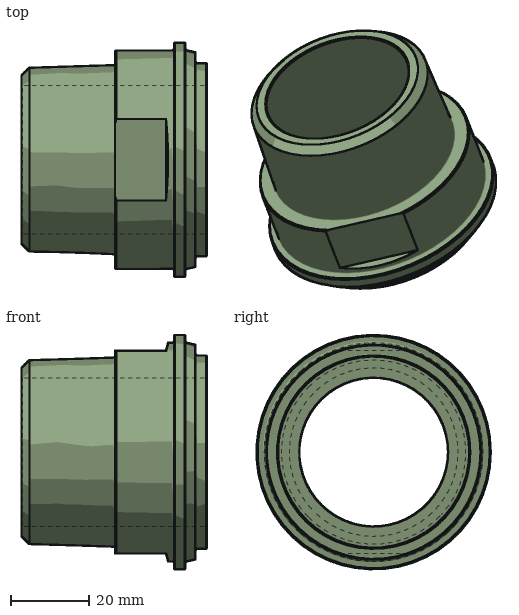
import cadquery as cq
import math


collar_start = 24.0
flange_start = 39.0
flange_end = 42.0
ring_end = 44.6
total_length = 47.5

bore_radius = 38.0 / 2
collar_radius = 56.0 / 2
flange_radius = 60.0 / 2
ring_radius = collar_radius
spigot_radius = 49.5 / 2

thread_gauge_radius = 47.8 / 2
thread_gauge_station = 12.7
thread_radius_slope = 1 / 32
lead_chamfer = 2.0

edge_break = 0.3
root_fillet = 0.35
ring_edge_break = 0.2
bore_edge_break = 0.25

ring_taper_angle = 13.0

flat_height = 26.0
flat_end = 37.0
flat_end_angle = 15.0


def thread_radius(x):
    return thread_gauge_radius + (x - thread_gauge_station) * thread_radius_slope


def revolve_about_x(profile):
    return profile.close().revolve(360, (0, 0, 0), (1, 0, 0))


def make_body():
    """Revolved outer shape, solid through the middle."""
    ring_taper_start = flange_end + root_fillet
    ring_taper_end = ring_end - ring_edge_break
    ring_drop = (ring_taper_end - ring_taper_start) * math.tan(math.radians(ring_taper_angle))
    ring_end_radius = ring_radius - ring_drop
    thread_end = collar_start - root_fillet
    thread_end_radius = thread_radius(thread_end)
    profile = (
        cq.Workplane("XY")
        .moveTo(0, 0)
        .lineTo(0, thread_radius(lead_chamfer) - lead_chamfer)
        .lineTo(lead_chamfer, thread_radius(lead_chamfer))
        .lineTo(thread_end, thread_end_radius)
        .radiusArc((collar_start, thread_end_radius + root_fillet), -root_fillet)
        .lineTo(collar_start, collar_radius - edge_break)
        .lineTo(collar_start + edge_break, collar_radius)
        .lineTo(flange_start - root_fillet, collar_radius)
        .radiusArc((flange_start, collar_radius + root_fillet), -root_fillet)
        .lineTo(flange_start, flange_radius - edge_break)
        .lineTo(flange_start + edge_break, flange_radius)
        .lineTo(flange_end - edge_break, flange_radius)
        .lineTo(flange_end, flange_radius - edge_break)
        .lineTo(flange_end, ring_radius + root_fillet)
        .radiusArc((ring_taper_start, ring_radius), -root_fillet)
        .lineTo(ring_taper_end, ring_end_radius)
        .lineTo(ring_end, ring_end_radius - ring_edge_break)
        .lineTo(ring_end, spigot_radius + root_fillet)
        .radiusArc((ring_end + root_fillet, spigot_radius), -root_fillet)
        .lineTo(total_length - edge_break, spigot_radius)
        .lineTo(total_length, spigot_radius - edge_break)
        .lineTo(total_length, 0)
    )
    return revolve_about_x(profile)


def make_bore():
    """Through bore with a small chamfer at the threaded end."""
    profile = (
        cq.Workplane("XY")
        .moveTo(0, 0)
        .lineTo(0, bore_radius + bore_edge_break)
        .lineTo(bore_edge_break, bore_radius)
        .lineTo(total_length, bore_radius)
        .lineTo(total_length, 0)
    )
    return revolve_about_x(profile)


def make_flat_cutter():
    """Material above the +Z flat, ending in a wall that leans toward the flange."""
    depth = collar_radius - flat_height
    wall_lean = depth * math.tan(math.radians(flat_end_angle))
    return (
        cq.Workplane("XZ")
        .moveTo(collar_start, flat_height)
        .lineTo(flat_end, flat_height)
        .lineTo(flat_end + wall_lean, collar_radius)
        .lineTo(collar_start, collar_radius)
        .close()
        .extrude(collar_radius, both=True)
    )


flat_cutter = make_flat_cutter()
result = make_body().cut(make_bore()).cut(flat_cutter).cut(flat_cutter.mirror("XY"))